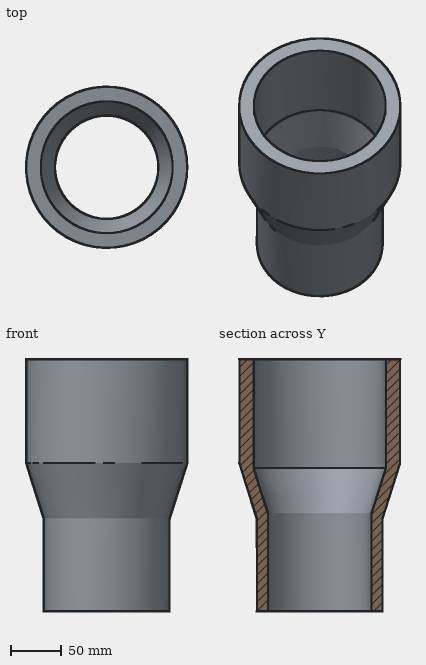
import cadquery as cq

large_diameter = 160.0
large_wall = 14.6
small_diameter = 125.0
small_wall = 11.4

total_length = 250.0
large_end_length = 103.0
small_end_length = 92.0

blend_radius = 2.0

large_outer_radius = large_diameter / 2
small_outer_radius = small_diameter / 2
large_bore_radius = large_outer_radius - large_wall
small_bore_radius = small_outer_radius - small_wall

outer_taper_length = total_length - large_end_length - small_end_length
taper_middle = small_end_length + outer_taper_length / 2
taper_slope = (large_outer_radius - small_outer_radius) / outer_taper_length

bore_taper_length = (large_bore_radius - small_bore_radius) / taper_slope


def reducer_body(large_radius, small_radius, taper_length):
    """Solid of revolution: small cylinder, cone, then large cylinder."""
    taper_bottom = taper_middle - taper_length / 2
    taper_top = taper_middle + taper_length / 2
    return (
        cq.Workplane("XZ")
        .lineTo(small_radius, 0)
        .lineTo(small_radius, taper_bottom)
        .lineTo(large_radius, taper_top)
        .lineTo(large_radius, total_length)
        .lineTo(0, total_length)
        .close()
        .revolve(360, (0, 0, 0), (0, 1, 0))
    )


def blend_small_end(body):
    """Round the corner between the small cylinder and the cone."""
    corner = cq.selectors.NearestToPointSelector((0, 0, small_end_length))
    return body.edges("%CIRCLE").edges(corner).fillet(blend_radius)


outer_body = blend_small_end(
    reducer_body(large_outer_radius, small_outer_radius, outer_taper_length)
)
bore = reducer_body(large_bore_radius, small_bore_radius, bore_taper_length)

result = outer_body.cut(bore).translate((0, 0, -total_length / 2))